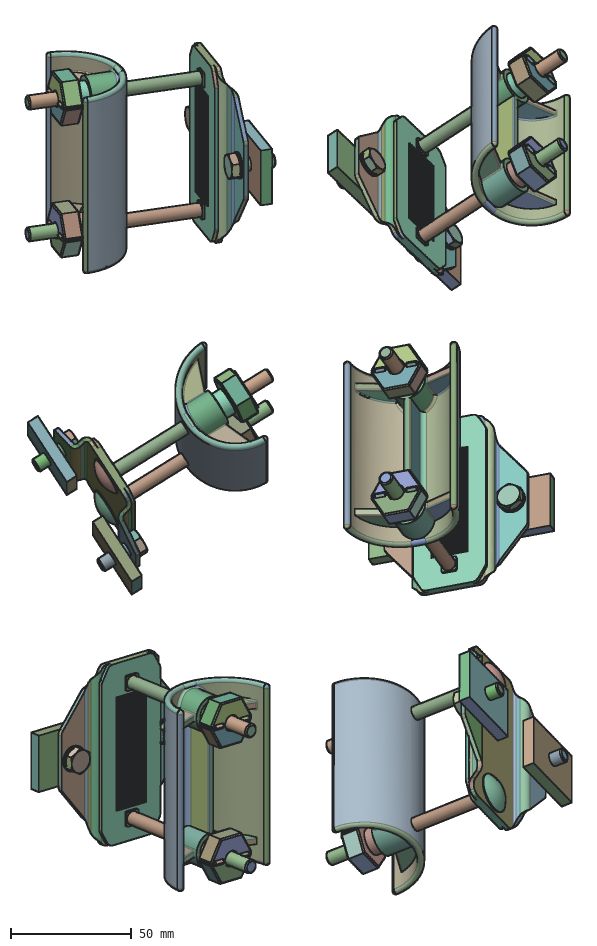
import cadquery as cq
import math

LENGTH = 80.0

SHELL_RADIUS = 25.0
SHELL_WALL = 3.0
SHELL_END_Y = 0.9
RIM_RADIUS = SHELL_WALL / 2

CLAMP_Z = 30.0
BOSS_RADIUS = 8.0
BOSS_END_Y = 8.6
BOSS_FILLET = 1.0
RIB_THICKNESS = 3.3
RIB_EDGE_FILLET = 0.5
RIB_BASE_FILLET = 0.6
RIB_INNER_POINT = (BOSS_RADIUS, 9.9)
RIB_OUTER_POINT = (21.1, 4.85)
WEB_THICKNESS = 3.0
WEB_BASE_FILLET = 1.8
RIM_FLAT_WIDTH = WEB_THICKNESS + 2 * WEB_BASE_FILLET

NUT_FLATS = 19.9
NUT_Y = 3.8
NUT_HEIGHT = 8.3
NUT_CHAMFER = 0.6
NUT_BORE = 7.0
NUT_NECK_RADIUS = 5.95
NUT_SLOT_WIDTH = 0.9
NUT_SLOT_DEPTH = 0.5
NUT_HALF_WIDTH = 11.0
TOOTH_INNER_X = 4.8
TOOTH_OUTER_X = 9.1
TOOTH_WIDTH = 2.3
TOOTH_HEIGHT = 1.05

ROD_RADIUS = 3.0
ROD_CHAMFER = 0.6
ROD_END_Y = -17.0
DOME_RADIUS = 8.5
DOME_RIM = 0.5
DOME_HEIGHT = 3.85
NECK_WIDTH = 6.7
NECK_CORNER = 1.0
NECK_PROTRUSION = 0.9

PLATE_FRONT_Y = 59.4
PLATE_THICKNESS = 1.6
PLATE_WIDTH = 32.0
PLATE_CORNER_DROP = 7.1
PLATE_CORNER_ANGLE = 30.0
CORNER_FILLET = 3.0
SHEET_THICKNESS = 2.0
SHEET_STEP = 5.9
SHEET_HALF_WIDTH = 31.5
BEND_INNER_RADIUS = 1.0
BEND_STEPS = 4
WALL_OUTER_X = 18.0
EAR_HALF_HEIGHT = 12.6
EAR_SLOPE = 1.23

GRIP_COUNT = 18
GRIP_PITCH = 0.9
GRIP_HEIGHT = 0.4
GRIP_LENGTH = 50.0

BOLT_X = 25.0
BOLT_END_Y = 82.2
WASHER_RADIUS = 5.6
WASHER_THICKNESS = 0.65
COLLAR_RADIUS = 4.95
COLLAR_THICKNESS = 0.4
HEAD_FLATS = 10.0
HEAD_HEIGHT = 3.7
HEAD_CHAMFER_HEIGHT = 0.45
BLOCK_SIZE = (30.0, 5.0, 25.0)
BLOCK_Y = 71.35

SHEET_FRONT_Y = PLATE_FRONT_Y + PLATE_THICKNESS
SHEET_BACK_Y = SHEET_FRONT_Y + SHEET_THICKNESS
EAR_FRONT_Y = SHEET_FRONT_Y + SHEET_STEP
NUT_FACE_Y = NUT_Y - NUT_HEIGHT
SHELL_INNER = SHELL_RADIUS - SHELL_WALL
SHELL_MIDDLE = SHELL_RADIUS - RIM_RADIUS
OVERLAP = 0.4
BEND_OUTER_RADIUS = BEND_INNER_RADIUS + SHEET_THICKNESS
HEAD_CORNER_RADIUS = HEAD_FLATS / 2 / math.cos(math.radians(30))


def cylinder_y(x, z, y_low, y_high, radius):
    """Cylinder along Y between two heights."""
    solid = cq.Solid.makeCylinder(radius, y_high - y_low, cq.Vector(x, y_low, z), cq.Vector(0, 1, 0))
    return cq.Workplane(obj=solid)


def hexagon(x, y_high, z, height, flats, corner_direction):
    """Hexagonal prism from y_high toward -Y with two corners along the given direction."""
    plane = cq.Plane(origin=(x, y_high, z), xDir=corner_direction, normal=(0, -1, 0))
    return cq.Workplane(plane).polygon(6, flats / math.cos(math.radians(30))).extrude(height)


def box_between(x, y, z):
    """Box given by its (low, high) range on each axis."""
    sizes = [high - low for low, high in (x, y, z)]
    return cq.Workplane("XY").box(*sizes, centered=False).translate((x[0], y[0], z[0]))


def upper_half():
    """Block that keeps what lies on the +Y side of the shell's straight edges."""
    span = (-SHELL_RADIUS, SHELL_RADIUS)
    return box_between(span, (SHELL_END_Y, SHELL_RADIUS), (-LENGTH, LENGTH))


def half_tube(length):
    """Half ring on the +Y side of the axis, with square edges."""
    ring = cq.Workplane("XY", origin=(0, 0, -length / 2)).circle(SHELL_RADIUS).circle(SHELL_INNER)
    ring = ring.extrude(length)
    return ring.intersect(upper_half())


def rounded_shell():
    """Half tube with fully rounded free edges and a short straight length in each curved rim."""
    straight = LENGTH - 2 * RIM_RADIUS
    shell = half_tube(straight)
    edge_x = math.sqrt(SHELL_MIDDLE**2 - SHELL_END_Y**2)
    for z in (-straight / 2, straight / 2):
        torus = cq.Solid.makeTorus(SHELL_MIDDLE, RIM_RADIUS, cq.Vector(0, 0, z))
        shell = shell.union(cq.Workplane(obj=torus).intersect(upper_half()))
        flat_y = math.sqrt(SHELL_MIDDLE**2 - (RIM_FLAT_WIDTH / 2) ** 2)
        flat = cq.Workplane("YZ", origin=(-RIM_FLAT_WIDTH / 2, flat_y, z)).circle(RIM_RADIUS)
        shell = shell.union(flat.extrude(RIM_FLAT_WIDTH))
    for x in (-edge_x, edge_x):
        edge = cq.Workplane("XY", origin=(x, SHELL_END_Y, -straight / 2)).circle(RIM_RADIUS).extrude(straight)
        shell = shell.union(edge)
        for z in (-straight / 2, straight / 2):
            shell = shell.union(cq.Workplane("XY").sphere(RIM_RADIUS).translate((x, SHELL_END_Y, z)))
    return shell


def ribs():
    """Bar with two sloping gussets, to be joined to a boss at Z = 0 and to the shell wall."""
    slope = (RIB_OUTER_POINT[1] - RIB_INNER_POINT[1]) / (RIB_OUTER_POINT[0] - RIB_INNER_POINT[0])
    centre_y = RIB_INNER_POINT[1] - slope * RIB_INNER_POINT[0]
    end_y = centre_y + slope * SHELL_MIDDLE
    outline = [
        (0, centre_y),
        (SHELL_MIDDLE, end_y),
        (SHELL_MIDDLE, SHELL_MIDDLE),
        (-SHELL_MIDDLE, SHELL_MIDDLE),
        (-SHELL_MIDDLE, end_y),
    ]
    bar = cq.Workplane("XY").polyline(outline).close().extrude(RIB_THICKNESS / 2, both=True)
    for side in (1, -1):
        sloping = cq.selectors.ParallelDirSelector(cq.Vector(side, slope, 0))
        bar = bar.edges(sloping).fillet(RIB_EDGE_FILLET)
    return bar


def ribbed_boss():
    """Boss at Z = 0 filleted into the ribs on its two sides."""
    boss = cylinder_y(0, 0, BOSS_END_Y, SHELL_MIDDLE, BOSS_RADIUS)
    joined = ribs().union(boss)
    corner_x = math.sqrt(BOSS_RADIUS**2 - (RIB_THICKNESS / 2) ** 2)
    reach = 0.1
    for side in (1, -1):
        near = cq.selectors.BoxSelector(
            (side * (corner_x - reach), 0, -RIB_THICKNESS),
            (side * (corner_x + reach), SHELL_RADIUS, RIB_THICKNESS),
        )
        joined = joined.edges("|Y").edges(near).fillet(RIB_EDGE_FILLET)
    return joined


def inner_edges(body):
    """Edges lying on the inner surface of the shell, away from its rim."""
    found = []
    for edge in body.edges().vals():
        points = [edge.positionAt(t) for t in (0.1, 0.5, 0.9)]
        on_surface = all(abs(math.hypot(p.x, p.y) - SHELL_INNER) < 0.02 for p in points)
        off_rim = all(abs(p.z) < LENGTH / 2 - 0.01 and p.y > SHELL_END_Y + 0.01 for p in points)
        if on_surface and off_rim:
            found.append(edge)
    return found


def fillet_inner(body, radius):
    """Blend everything that stands on the inner surface of the shell into it."""
    return cq.Workplane(obj=body.val().fillet(radius, inner_edges(body)))


def shell():
    """Half-round shell with its bosses, central web and ribs."""
    half_web = WEB_THICKNESS / 2
    web = box_between((-half_web, half_web), (BOSS_END_Y, SHELL_MIDDLE), (-CLAMP_Z, CLAMP_Z))
    webbed = half_tube(LENGTH).union(web.edges("<Y and |Z").fillet(RIB_EDGE_FILLET))
    bossed = half_tube(LENGTH)
    ribbed = half_tube(LENGTH)
    for z in (-CLAMP_Z, CLAMP_Z):
        bossed = bossed.union(cylinder_y(0, z, BOSS_END_Y, SHELL_MIDDLE, BOSS_RADIUS))
        ribbed = ribbed.union(ribs().translate((0, 0, z)))
    inside = fillet_inner(bossed, BOSS_FILLET).union(fillet_inner(ribbed, RIB_BASE_FILLET))
    inside = inside.union(fillet_inner(webbed, WEB_BASE_FILLET))
    for z in (-CLAMP_Z, CLAMP_Z):
        inside = inside.union(ribbed_boss().translate((0, 0, z)))

    kept = cq.Workplane("XY").circle(SHELL_INNER + OVERLAP).extrude(LENGTH / 2 - RIM_RADIUS, both=True)
    return rounded_shell().union(inside.intersect(kept))


def clamp_nut(z):
    """Clamp nut with a round neck, a slotted face and two roof-shaped teeth."""
    nut = hexagon(0, NUT_Y, z, NUT_HEIGHT, NUT_FLATS, (1, 0, 0))
    nut = nut.faces("<Y or >Y").edges().chamfer(NUT_CHAMFER)
    limits = (-NUT_HALF_WIDTH, NUT_HALF_WIDTH)
    nut = nut.intersect(box_between(limits, (NUT_FACE_Y, NUT_Y), (z - NUT_FLATS, z + NUT_FLATS)))
    slot_z = (z - NUT_SLOT_WIDTH / 2, z + NUT_SLOT_WIDTH / 2)
    nut = nut.cut(box_between(limits, (NUT_FACE_Y, NUT_FACE_Y + NUT_SLOT_DEPTH), slot_z))
    notch_x = NUT_HALF_WIDTH - NUT_SLOT_DEPTH
    for side in (1, -1):
        notch = sorted((side * notch_x, side * NUT_HALF_WIDTH))
        nut = nut.cut(box_between(notch, (NUT_FACE_Y, NUT_Y), slot_z))
        base_y = NUT_FACE_Y + NUT_SLOT_DEPTH
        half = TOOTH_WIDTH / 2
        tooth = (
            cq.Workplane("YZ")
            .polyline([
                (base_y, z - half),
                (NUT_FACE_Y, z - half),
                (NUT_FACE_Y - TOOTH_HEIGHT, z),
                (NUT_FACE_Y, z + half),
                (base_y, z + half),
            ])
            .close()
            .extrude(TOOTH_OUTER_X - TOOTH_INNER_X)
            .translate((TOOTH_INNER_X if side > 0 else -TOOTH_OUTER_X, 0, 0))
        )
        nut = nut.union(tooth)
    nut = nut.cut(cylinder_y(0, z, NUT_FACE_Y - TOOTH_HEIGHT, NUT_Y, NUT_BORE / 2))
    return nut.union(cylinder_y(0, z, NUT_Y, BOSS_END_Y, NUT_NECK_RADIUS))


def carriage_bolt(z):
    """Round-headed bolt with a square neck, running through plate, shell and nut."""
    rod = cylinder_y(0, z, ROD_END_Y, SHEET_BACK_Y, ROD_RADIUS).faces("<Y").chamfer(ROD_CHAMFER)
    half = NECK_WIDTH / 2
    neck = box_between((-half, half), (PLATE_FRONT_Y - NECK_PROTRUSION, SHEET_BACK_Y), (z - half, z + half))
    neck = neck.edges("|Y").fillet(NECK_CORNER)
    base_y = SHEET_BACK_Y + DOME_RIM
    top_y = SHEET_BACK_Y + DOME_HEIGHT
    sag = top_y - base_y
    ball = (DOME_RADIUS**2 + sag**2) / (2 * sag)
    lower_slope = math.sqrt(ball**2 - (DOME_RADIUS / 2) ** 2) + top_y - ball
    head = (
        cq.Workplane("XY")
        .moveTo(0, SHEET_BACK_Y)
        .lineTo(DOME_RADIUS, SHEET_BACK_Y)
        .lineTo(DOME_RADIUS, base_y)
        .threePointArc((DOME_RADIUS / 2, lower_slope), (0, top_y))
        .close()
        .revolve(360, (0, 0, 0), (0, 1, 0))
        .translate((0, 0, z))
    )
    return rod.union(neck).union(head)


def mirrored_outline(quarter):
    """Closed outline in X and Z from the points of its (+X, +Z) quarter."""
    upper = quarter + [(-x, z) for x, z in reversed(quarter)]
    return upper + [(x, -z) for x, z in reversed(upper)]


def extrude_outline(outline, y_low, thickness):
    """Plate of an (X, Z) outline from y_low toward +Y."""
    start = cq.Workplane("XZ", origin=(0, y_low, 0))
    return start.polyline(outline).close().extrude(-thickness)


def front_plate():
    """Flat plate with blunted corners and vertical grip teeth."""
    half_x = PLATE_WIDTH / 2
    half_z = LENGTH / 2
    cut_x = PLATE_CORNER_DROP * math.tan(math.radians(PLATE_CORNER_ANGLE))
    outline = mirrored_outline([(half_x, half_z - PLATE_CORNER_DROP), (half_x - cut_x, half_z)])
    plate = extrude_outline(outline, PLATE_FRONT_Y, PLATE_THICKNESS).edges("|Y").fillet(CORNER_FILLET)
    for index in range(GRIP_COUNT):
        x = (index - (GRIP_COUNT - 1) / 2) * GRIP_PITCH
        half = GRIP_PITCH / 2
        tooth = (
            cq.Workplane("XY")
            .polyline([
                (x - half, SHEET_FRONT_Y),
                (x - half, PLATE_FRONT_Y),
                (x, PLATE_FRONT_Y - GRIP_HEIGHT),
                (x + half, PLATE_FRONT_Y),
                (x + half, SHEET_FRONT_Y),
            ])
            .close()
            .extrude(GRIP_LENGTH / 2, both=True)
        )
        plate = plate.union(tooth)
    return plate


def bend(side, centre, start_angle, turn, start_half, end_half):
    """Quarter bend of the sheet whose half height grows evenly with the angle."""
    wires = []
    for step in range(BEND_STEPS + 1):
        part = step / BEND_STEPS
        angle = math.radians(start_angle + turn * part)
        half = start_half + (end_half - start_half) * part
        corners = []
        for radius, z in (
            (BEND_INNER_RADIUS, -half),
            (BEND_OUTER_RADIUS, -half),
            (BEND_OUTER_RADIUS, half),
            (BEND_INNER_RADIUS, half),
        ):
            x = centre[0] + radius * math.cos(angle)
            corners.append(cq.Vector(side * x, centre[1] + radius * math.sin(angle), z))
        wires.append(cq.Wire.makePolygon(corners, close=True))
    return cq.Workplane(obj=cq.Solid.makeLoft(wires, False))


def stepped_sheet():
    """Sheet bent back on both sides into ears; its edges taper at a constant slope along the sheet."""
    wall_inner_x = WALL_OUTER_X - SHEET_THICKNESS
    ear_x = wall_inner_x + BEND_OUTER_RADIUS
    ear_bend = (ear_x, EAR_FRONT_Y - BEND_INNER_RADIUS)
    middle_x = WALL_OUTER_X - BEND_OUTER_RADIUS
    middle_bend = (middle_x, SHEET_BACK_Y + BEND_INNER_RADIUS)
    bend_length = math.pi / 2 * (BEND_INNER_RADIUS + SHEET_THICKNESS / 2)

    half_ear = EAR_HALF_HEIGHT + EAR_SLOPE * (SHEET_HALF_WIDTH - ear_x)
    half_wall_back = half_ear + EAR_SLOPE * bend_length
    half_wall_front = half_wall_back + EAR_SLOPE * (ear_bend[1] - middle_bend[1])
    half_middle = half_wall_front + EAR_SLOPE * bend_length
    end_x = middle_x - (LENGTH / 2 - half_middle) / EAR_SLOPE

    outline = mirrored_outline([(middle_x, half_middle), (end_x, LENGTH / 2)])
    sheet = extrude_outline(outline, SHEET_FRONT_Y, SHEET_THICKNESS)
    for x in (end_x, -end_x):
        near = cq.selectors.BoxSelector((x - 1, 0, -LENGTH), (x + 1, BOLT_END_Y, LENGTH))
        sheet = sheet.edges("|Y").edges(near).fillet(CORNER_FILLET)
    for side in (1, -1):
        ear_outline = [
            (side * ear_x, -half_ear),
            (side * SHEET_HALF_WIDTH, -EAR_HALF_HEIGHT),
            (side * SHEET_HALF_WIDTH, EAR_HALF_HEIGHT),
            (side * ear_x, half_ear),
        ]
        ear = extrude_outline(ear_outline, EAR_FRONT_Y, SHEET_THICKNESS)
        ear = ear.edges("|Y").edges(">X" if side > 0 else "<X").fillet(CORNER_FILLET)
        wall = (
            cq.Workplane("YZ", origin=(side * wall_inner_x, 0, 0))
            .polyline([
                (middle_bend[1], -half_wall_front),
                (ear_bend[1], -half_wall_back),
                (ear_bend[1], half_wall_back),
                (middle_bend[1], half_wall_front),
            ])
            .close()
            .extrude(side * SHEET_THICKNESS)
        )
        sheet = sheet.union(bend(side, middle_bend, 270, 90, half_middle, half_wall_front))
        sheet = sheet.union(wall)
        sheet = sheet.union(bend(side, ear_bend, 180, -90, half_wall_back, half_ear))
        sheet = sheet.union(ear)
    return sheet


def fixing_bolt(x):
    """Hexagon-headed bolt with a washer face, and the slide block it is screwed into."""
    bolt = cylinder_y(x, 0, EAR_FRONT_Y, BOLT_END_Y, ROD_RADIUS).faces(">Y").chamfer(ROD_CHAMFER)
    washer_y = EAR_FRONT_Y - WASHER_THICKNESS
    collar_y = washer_y - COLLAR_THICKNESS
    face_y = collar_y - HEAD_HEIGHT
    bolt = bolt.union(cylinder_y(x, 0, washer_y, EAR_FRONT_Y, WASHER_RADIUS))
    bolt = bolt.union(cylinder_y(x, 0, collar_y, washer_y, COLLAR_RADIUS))
    head = hexagon(x, collar_y, 0, HEAD_HEIGHT, HEAD_FLATS, (0, 0, 1))
    blunt = cylinder_y(x, 0, face_y, collar_y, HEAD_CORNER_RADIUS)
    blunt = blunt.faces("<Y").chamfer(HEAD_CHAMFER_HEIGHT, HEAD_CORNER_RADIUS - COLLAR_RADIUS)
    width, depth, height = BLOCK_SIZE
    block = box_between(
        (x - width / 2, x + width / 2), (BLOCK_Y, BLOCK_Y + depth), (-height / 2, height / 2)
    )
    return bolt.union(head.intersect(blunt)).union(block)


result = front_plate().union(stepped_sheet())
for x in (-BOLT_X, BOLT_X):
    result = result.union(fixing_bolt(x))
for z in (-CLAMP_Z, CLAMP_Z):
    result = result.union(clamp_nut(z).union(carriage_bolt(z)))
result = result.union(shell(), clean=False)